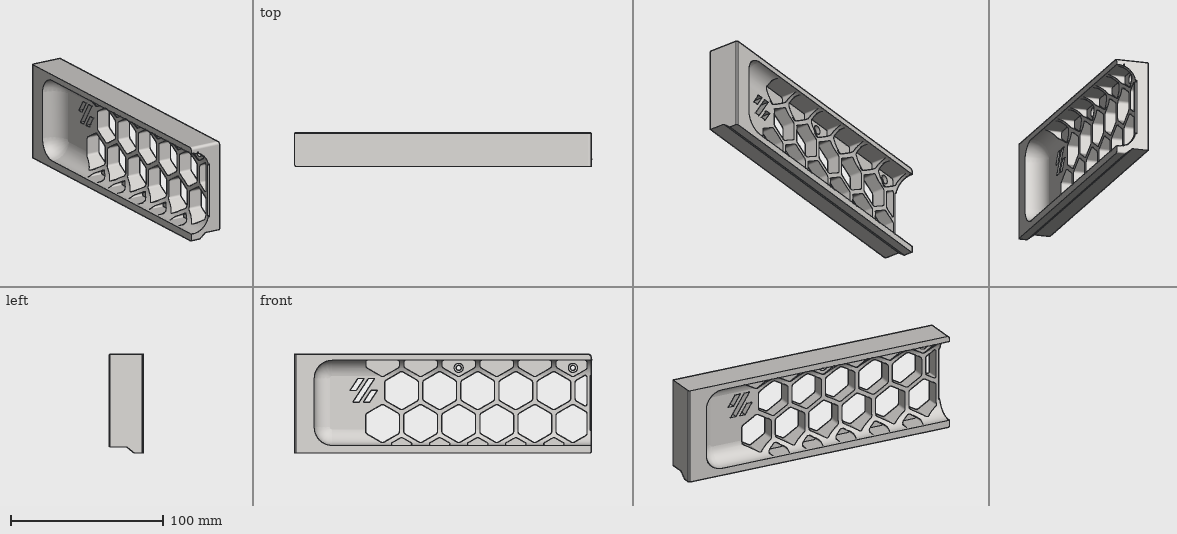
import cadquery as cq
import math

LENGTH = 195.0
DEPTH = 22.4
HEIGHT = 65.0

UNDERSIDE_RISE = 4.0
STEP_START_Y = 6.0
STEP_END_Y = 11.0

TOLERANCE = 0.001

LEFT_FRONT_CHAMFER = 1.0
BACK_CHAMFER = 0.5
END_TOP_RADIUS = 2.0
END_BOTTOM_RADIUS = 1.0
RECESS_END_CHAMFER = 1.0
BEVEL_ANGLE = 45.0

RECESS_LEFT = 13.0
RECESS_BOTTOM = 5.0
RECESS_TOP = 61.0
SCOOP_RADIUS = 12.0
STRAIGHT_WALL = 1.3
FLOOR_Y = 13.2
SCOOP_RUN = SCOOP_RADIUS - math.sqrt(SCOOP_RADIUS**2 - (FLOOR_Y - STRAIGHT_WALL) ** 2)
LOWER_FLOOR_EDGE_Z = RECESS_BOTTOM + SCOOP_RUN
UPPER_FLOOR_EDGE_Z = RECESS_TOP - SCOOP_RUN

CELL_PITCH = 25.0
CELL_WIDTH = 22.0
HALF_HEXAGON_TURN = 30.0
CELL_CORNER_RADIUS = 2.0
TRIM_CORNER_RADIUS = 1.0
ROW_PITCH = CELL_PITCH * math.sqrt(3) / 2
FIRST_CELL_X = 57.9
LOWER_ROW_Z = 19.4
UPPER_ROW_Z = LOWER_ROW_Z + ROW_PITCH
HONEYCOMB_RIGHT = 192.0
CELLS_PER_ROW = 6
BLIND_CELL_Y = 13.7

SCREW_CELLS = (2, 5)
SCREW_Z = 56.0
SCREW_DIAMETER = 3.2
HEAD_DIAMETER = 6.0
HEAD_DEPTH = 3.0

NUB_DIAMETER = 0.4
NUB_LENGTH = 0.5
NUB_Y = 5.0
NUB_Z = 61.3

SLOT_WIDTH = 4.0
SLOT_PITCH = 6.9
SLOT_HALF_HEIGHT = 7.75
SLOT_LEAN = 5.1
SLOT_MIDDLE_X = 45.5
SLOT_MIDDLE_Z = 41.2


def front_plane(y):
    """Sketch plane at depth y whose local x, y are global X, Z; extrude negative to go back."""
    return cq.Workplane("XZ", origin=(0, y, 0))


def recess_band(right):
    """Box between the top and bottom recess walls, from the left end to the given X."""
    height = RECESS_TOP - RECESS_BOTTOM
    return (
        cq.Workplane("XY", origin=(0, 0, RECESS_BOTTOM))
        .box(right, DEPTH, height, centered=False)
    )


def make_block():
    side_profile = [
        (0, 0),
        (STEP_START_Y, 0),
        (STEP_END_Y, UNDERSIDE_RISE),
        (DEPTH, UNDERSIDE_RISE),
        (DEPTH, HEIGHT),
        (0, HEIGHT),
    ]
    block = cq.Workplane("YZ").polyline(side_profile).close().extrude(LENGTH)
    block = block.edges(">(1, 0, 1)").fillet(END_TOP_RADIUS)
    block = block.edges(">(1, 0, -1)").fillet(END_BOTTOM_RADIUS)
    block = block.edges("<(1, 1, 0)").chamfer(LEFT_FRONT_CHAMFER)
    return block.faces(">Y").edges().chamfer(BACK_CHAMFER)


def make_recess():
    """Recess with a ball-cornered scoop, cut off flat by the floor."""
    scoop_depth = STRAIGHT_WALL + SCOOP_RADIUS
    width = LENGTH + 2 * SCOOP_RADIUS - RECESS_LEFT
    height = RECESS_TOP - RECESS_BOTTOM
    scoop = (
        cq.Workplane("XY")
        .box(width, scoop_depth, height, centered=False)
        .edges("<X and |Y").fillet(SCOOP_RADIUS)
        .faces(">Y").edges().fillet(SCOOP_RADIUS - TOLERANCE)
        .translate((RECESS_LEFT, 0, RECESS_BOTTOM))
    )
    keep = cq.Workplane("XY").box(LENGTH, FLOOR_Y, HEIGHT, centered=False)
    return scoop.intersect(keep)


def on_field_border(edge):
    """True for an edge where a cell is trimmed by the top, bottom or right of the honeycomb."""
    center = edge.Center()
    gaps = (
        center.x - HONEYCOMB_RIGHT,
        center.z - RECESS_BOTTOM,
        center.z - RECESS_TOP,
    )
    return min(abs(gap) for gap in gaps) < TOLERANCE


def make_cell(x, z, end_y):
    """Upright hexagon prism, trimmed to the honeycomb field, with rounded corners."""
    corner_diameter = 2 * CELL_WIDTH / math.sqrt(3)
    hexagon = (
        front_plane(0).center(x, z)
        .transformed(rotate=(0, 0, HALF_HEXAGON_TURN))
        .polygon(6, corner_diameter)
        .extrude(-end_y)
        .edges("|Y").fillet(CELL_CORNER_RADIUS)
    )
    cell = hexagon.intersect(recess_band(HONEYCOMB_RIGHT))
    trim_corners = cell.edges("|Y").filter(on_field_border)
    return trim_corners.fillet(TRIM_CORNER_RADIUS) if trim_corners.size() else cell


def make_end_bevel():
    """Bevel that widens the scoop and floor at the right end, fading out along the recess walls."""
    scoop_profile = (
        cq.Workplane("YZ", origin=(LENGTH - RECESS_END_CHAMFER, 0, 0))
        .moveTo(STRAIGHT_WALL, RECESS_BOTTOM)
        .radiusArc((FLOOR_Y, LOWER_FLOOR_EDGE_Z), SCOOP_RADIUS)
        .lineTo(FLOOR_Y, UPPER_FLOOR_EDGE_Z)
        .radiusArc((STRAIGHT_WALL, RECESS_TOP), SCOOP_RADIUS)
        .close()
    )
    flare = scoop_profile.extrude(RECESS_END_CHAMFER, taper=-BEVEL_ANGLE)
    return flare.intersect(recess_band(LENGTH))


def cut_honeycomb(body):
    """Two rows of through cells, with blind part cells above and below them."""
    for i in range(CELLS_PER_ROW):
        x = FIRST_CELL_X + i * CELL_PITCH
        shifted_x = x + CELL_PITCH / 2
        body = body.cut(make_cell(x, LOWER_ROW_Z, DEPTH))
        body = body.cut(make_cell(shifted_x, UPPER_ROW_Z, DEPTH))
        body = body.cut(make_cell(x, UPPER_ROW_Z + ROW_PITCH, BLIND_CELL_Y))
        if shifted_x < HONEYCOMB_RIGHT:
            body = body.cut(make_cell(shifted_x, LOWER_ROW_Z - ROW_PITCH, BLIND_CELL_Y))
    return body


def cut_screw_holes(body):
    centers = [(FIRST_CELL_X + i * CELL_PITCH, SCREW_Z) for i in SCREW_CELLS]
    seat = front_plane(BLIND_CELL_Y).pushPoints(centers)
    hole = seat.circle(SCREW_DIAMETER / 2).extrude(BLIND_CELL_Y - DEPTH)
    head = seat.circle(HEAD_DIAMETER / 2).extrude(-HEAD_DEPTH)
    return body.cut(hole).cut(head)


def make_nub():
    return (
        cq.Workplane("YZ", origin=(LENGTH - NUB_LENGTH, NUB_Y, NUB_Z))
        .circle(NUB_DIAMETER / 2)
        .extrude(2 * NUB_LENGTH)
    )


def cut_slots(body):
    """Three parallel through slots: upper half, full height and lower half."""
    spans = [(0, 1), (-1, 1), (-1, 0)]
    for i, (low, high) in enumerate(spans):
        x = SLOT_MIDDLE_X + (i - 1) * SLOT_PITCH
        foot_x = x + low * SLOT_LEAN
        foot_z = SLOT_MIDDLE_Z + low * SLOT_HALF_HEIGHT
        head_x = x + high * SLOT_LEAN
        head_z = SLOT_MIDDLE_Z + high * SLOT_HALF_HEIGHT
        corners = [
            (foot_x - SLOT_WIDTH / 2, foot_z),
            (foot_x + SLOT_WIDTH / 2, foot_z),
            (head_x + SLOT_WIDTH / 2, head_z),
            (head_x - SLOT_WIDTH / 2, head_z),
        ]
        body = body.cut(front_plane(0).polyline(corners).close().extrude(-DEPTH))
    return body


body = make_block().cut(make_recess())
body = body.cut(make_end_bevel())
body = cut_honeycomb(body)
body = cut_screw_holes(body)
body = cut_slots(body)
result = body.union(make_nub())